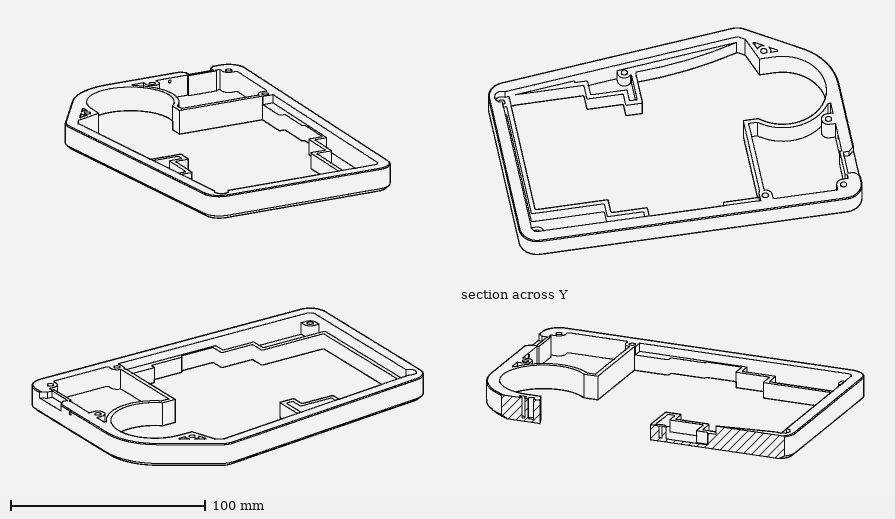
import cadquery as cq
import math

length = 179.4
width = 122.4
height = 13.0

floor_z = 2.0
ledge_z = 8.5

rim = 6.5
corner_radius = 9.5
thumb_corner_radius = 31.5
top_chamfer = 0.5
bottom_chamfer = 2.0
left_slope_start = 29.2
left_slope = -0.666
lower_slope = 0.1204
lower_vertex_y = -0.35
lower_vertex_x = (lower_vertex_y - left_slope_start) / left_slope
right_vertex_y = lower_vertex_y + lower_slope * (length - lower_vertex_x)

web = 2.4
hole_diameter = 3.2
boss_radius = hole_diameter / 2 + 2.0
small_radius = 0.7
boss_fillet = 1.0

thumb_x = 29.4
thumb_y = 45.6
thumb_radius = 22.6

window_left = 52.9
deck_right = 53.4
deck_foot_x = 42.5
deck_foot_y = 8.4
deck_tip_x = 37.5
deck_tip_y = thumb_y - thumb_radius
window_nose_y = 61.9

step_x = [72.0, 91.2, 111.1, 130.1]
step_y = [110.0, 113.2, 114.7, 106.6, 97.8]
window_right = 168.2

tab_left = 101.2
tab_step_x = 110.0
tab_right = 129.0
tab_top = 37.7
tab_step_y = 30.0
window_bottom = 20.7
tab_foot_y = 16.8
sill_start = (46.0, 6.3)
sill_middle = (68.0, 12.4)

main_pocket_right = window_left - web
main_pocket_low_y = 58.4
tip_pocket_left = 27.3
tip_pocket_top = 19.6
tip_pocket_low_y = 11.8
side_pocket_end_y = 27.6
tab_pocket_top = 34.95
tab_pocket_notch_x = 133.2
tab_pocket_notch_y = 18.1

screw_inset = 9.5
corner_screw = (screw_inset, width - screw_inset)
deck_screw = (main_pocket_right, width - screw_inset)
left_screw = (screw_inset, 68.6)
tip_screw = (34.3, 18.15)
top_right_screw = (length - screw_inset, width - screw_inset)
low_right_screw = (172.6, 24.3)
tab_screw = (106.9, 16.0)

notch_y = 98.8
notch_floor_z = 9.5
notch_depth = 5.9
notch_width = 14.2
notch_flare = 2.9
notch_wall = 1.7
notch_wall_length = 16.2

pinhole_diameter = 1.5
pinhole_y = 80.3
pinhole_z = 11.2
pinhole_depth = 9.5


def box(x0, x1, y0, y1, z0, z1):
    """Axis-aligned block between the given limits."""
    return cq.Workplane("XY").box(x1 - x0, y1 - y0, z1 - z0, centered=False).translate((x0, y0, z0))


def prism(points, z0, z1):
    """Upright solid with a polygonal plan, from z0 to z1."""
    return cq.Workplane("XY").workplane(offset=z0).polyline(points).close().extrude(z1 - z0)


def cylinder(center, radius, z0, z1):
    """Upright cylinder about a plan position, from z0 to z1."""
    return cq.Workplane("XY").workplane(offset=z0).center(*center).circle(radius).extrude(z1 - z0)


def rounded_outline():
    """Outer plan shape, full height, with rounded corners."""
    corners = [
        ((0, width), corner_radius),
        ((length, width), corner_radius),
        ((length, right_vertex_y), corner_radius),
        ((lower_vertex_x, lower_vertex_y), corner_radius),
        ((0, left_slope_start), thumb_corner_radius),
    ]
    solid = prism([point for point, radius in corners], 0, height)
    for (x, y), radius in corners:
        solid = solid.edges(cq.NearestToPointSelector((x, y, height / 2))).fillet(radius)
    return solid


def inner_area(outline):
    """Area inside the rim, full height."""
    inner_wire = outline.faces("<Z").wires().val().offset2D(-rim)[0]
    return cq.Workplane(cq.Solid.extrudeLinear(inner_wire, [], cq.Vector(0, 0, height)))


def thumb_arc_x(radius, y):
    """Half chord of a circle about the thumb centre at height y."""
    return math.sqrt(radius**2 - (y - thumb_y) ** 2)


def window_cut(inside):
    """Through opening: thumb circle, stepped top edge and the tab on the lower edge."""
    nose_x = thumb_x + thumb_arc_x(thumb_radius, window_nose_y)
    opening = (
        cq.Workplane("XY")
        .moveTo(thumb_x, deck_tip_y)
        .threePointArc((thumb_x - thumb_radius, thumb_y), (nose_x, window_nose_y))
        .lineTo(window_left, window_nose_y)
        .lineTo(window_left, step_y[0])
    )
    for x, y_before, y_after in zip(step_x, step_y, step_y[1:]):
        opening = opening.lineTo(x, y_before).lineTo(x, y_after)
    opening = (
        opening.lineTo(window_right, step_y[-1])
        .lineTo(window_right, window_bottom)
        .lineTo(tab_right, window_bottom)
        .lineTo(tab_right, tab_step_y)
        .lineTo(tab_step_x, tab_step_y)
        .lineTo(tab_step_x, tab_top)
        .lineTo(tab_left, tab_top)
        .lineTo(tab_left, tab_foot_y)
        .threePointArc(sill_middle, sill_start)
        .lineTo(deck_foot_x, deck_foot_y)
        .lineTo(deck_tip_x, deck_tip_y)
        .close()
        .extrude(height)
    )
    stepped_edges = cq.selectors.BoxSelector((deck_right, 0, 0), (length, width, height))
    return opening.edges("|Z").edges(stepped_edges).fillet(small_radius).intersect(inside)


def ledge_cut(inside):
    """Recess down to the ledge, everywhere inside the rim except on the deck."""
    right_area = box(deck_right, length, 0, width, ledge_z, height)
    lower_area = box(deck_foot_x, length, 0, thumb_y, ledge_z, height)
    relief = cylinder(low_right_screw, boss_radius, ledge_z, height)
    return inside.intersect(right_area.union(lower_area)).union(relief)


def main_pocket():
    """Deep pocket in the deck, with its three screw bosses left standing."""
    arc_radius = thumb_radius + web
    low_right_y = window_nose_y + web
    top = width - rim
    pocket = (
        cq.Workplane("XY")
        .workplane(offset=floor_z)
        .moveTo(rim, top)
        .lineTo(main_pocket_right, top)
        .lineTo(main_pocket_right, low_right_y)
        .lineTo(thumb_x + thumb_arc_x(arc_radius, low_right_y), low_right_y)
        .threePointArc(
            (thumb_x, thumb_y + arc_radius),
            (thumb_x - thumb_arc_x(arc_radius, main_pocket_low_y), main_pocket_low_y),
        )
        .lineTo(rim, main_pocket_low_y)
        .close()
        .extrude(height - floor_z)
    )
    for x, y in (corner_screw, deck_screw, left_screw):
        pocket = pocket.cut(cylinder((x, y), boss_radius, floor_z, height))
    for x, y in (corner_screw, deck_screw):
        pocket = pocket.cut(box(x - boss_radius, x + boss_radius, y, width, floor_z, height))
    for x, y in (corner_screw, left_screw):
        pocket = pocket.cut(box(0, x, y - boss_radius, y + boss_radius, floor_z, height))
    middle_z = (floor_z + height) / 2
    for x in (corner_screw[0] + boss_radius, deck_screw[0] - boss_radius):
        pocket = pocket.edges(cq.NearestToPointSelector((x, top, middle_z))).fillet(boss_fillet)
    notch_back = box(
        rim,
        notch_depth + notch_wall,
        notch_y - notch_wall_length / 2,
        notch_y + notch_wall_length / 2,
        floor_z,
        height,
    )
    return pocket.cut(notch_back)


def tip_pocket(inside):
    """Small pocket around the boss in the tip of the deck."""
    flank_angle = math.atan2(deck_tip_y - deck_foot_y, deck_foot_x - deck_tip_x)
    inset = web / math.sin(flank_angle)
    run = (deck_foot_x - deck_tip_x) / (deck_tip_y - deck_foot_y)
    top_right = deck_tip_x - inset + run * (deck_tip_y - tip_pocket_top)
    low_right = deck_tip_x - inset + run * (deck_tip_y - tip_pocket_low_y)
    area = prism(
        [
            (tip_pocket_left, tip_pocket_top),
            (top_right, tip_pocket_top),
            (low_right, tip_pocket_low_y),
            (tip_pocket_left, tip_pocket_low_y),
        ],
        floor_z,
        height,
    )
    return inside.intersect(area).cut(cylinder(tip_screw, boss_radius, floor_z, height))


def side_pocket(inside):
    """Pocket between the rim and the stepped web, at the top right and down the right side."""
    left, inner_left = step_x[2] + web, step_x[3] + web
    shelf, low_shelf = step_y[3] + web, step_y[4] + web
    strip = window_right + web
    area = prism(
        [
            (left, width),
            (left, shelf),
            (inner_left, shelf),
            (inner_left, low_shelf),
            (strip, low_shelf),
            (strip, side_pocket_end_y),
            (length, side_pocket_end_y),
            (length, width),
        ],
        floor_z,
        height,
    )
    area = area.edges("|Z").fillet(small_radius)
    x, y = top_right_screw
    boss = cylinder(top_right_screw, boss_radius, floor_z, ledge_z)
    boss = boss.union(box(x - boss_radius, length, y, width, floor_z, ledge_z))
    boss = boss.union(box(x, length, y - boss_radius, width, floor_z, ledge_z))
    return inside.intersect(area).cut(boss)


def tab_pocket(inside):
    """Pocket in the tab, open to the rim wall, with a screw boss in its lower left corner."""
    left = tab_left + web
    area = prism(
        [
            (left, 0),
            (left, tab_pocket_top),
            (tab_step_x - web, tab_pocket_top),
            (tab_step_x - web, tab_step_y - web),
            (tab_right - web, tab_step_y - web),
            (tab_right - web, tab_pocket_notch_y),
            (tab_pocket_notch_x, tab_pocket_notch_y),
            (tab_pocket_notch_x, 0),
        ],
        floor_z,
        height,
    )
    area = area.edges("|Z").fillet(small_radius)
    x, y = tab_screw
    boss = cylinder(tab_screw, boss_radius, floor_z, ledge_z)
    boss = boss.union(box(left, x + boss_radius, 0, y, floor_z, ledge_z))
    boss = boss.union(box(left, x, 0, tab_pocket_notch_y, floor_z, ledge_z))
    return inside.intersect(area).cut(boss)


def connector_notch():
    """Flared notch in the left side, open at the top."""
    half = notch_width / 2
    wide = half + notch_flare
    points = [
        (0, notch_y - wide),
        (notch_flare, notch_y - half),
        (notch_depth, notch_y - half),
        (notch_depth, notch_y + half),
        (notch_flare, notch_y + half),
        (0, notch_y + wide),
    ]
    return prism(points, notch_floor_z, height)


def pinhole():
    """Small horizontal hole from the left side into the main pocket."""
    return (
        cq.Workplane("YZ")
        .center(pinhole_y, pinhole_z)
        .circle(pinhole_diameter / 2)
        .extrude(pinhole_depth)
    )


all_screws = (
    corner_screw,
    deck_screw,
    left_screw,
    tip_screw,
    top_right_screw,
    low_right_screw,
    tab_screw,
)

outline = rounded_outline()
inside = inner_area(outline)

result = outline.faces(">Z").edges().chamfer(top_chamfer)
result = result.faces("<Z").edges().chamfer(bottom_chamfer)
result = result.cut(window_cut(inside))
result = result.cut(ledge_cut(inside))
result = result.cut(main_pocket())
result = result.cut(tip_pocket(inside))
result = result.cut(side_pocket(inside))
result = result.cut(tab_pocket(inside))
result = result.cut(connector_notch())
result = result.cut(pinhole())
for screw in all_screws:
    result = result.cut(cylinder(screw, hole_diameter / 2, floor_z, height))